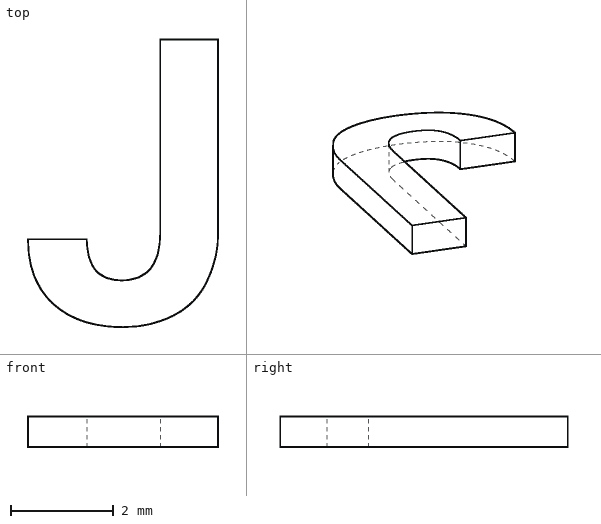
import cadquery as cq

width = 3.71
height = 5.61
thickness = 0.6

stem_width = 1.135
tip_width = 1.15
tip_y = 1.715
stem_end_y = 1.79
stem_left = width - stem_width

outer_bottom = (1.86, 0)
inner_bottom_y = 0.915
inner_bottom = (1.83, inner_bottom_y)

outer_left_controls = [(0, 0.91), (0.99, 0)]
outer_right_controls = [(2.385, 0), (3.28, 0.45), (width, 1.36)]
inner_right_controls = [(stem_left, 1.375), (2.205, inner_bottom_y)]
inner_left_controls = [(1.475, inner_bottom_y), (tip_width, 1.33)]


def midpoint(a, b):
    return ((a[0] + b[0]) / 2, (a[1] + b[1]) / 2)


def add_bend(outline, start, controls, end):
    """Add parabolic arcs that join smoothly halfway between neighbouring control points."""
    joints = [midpoint(a, b) for a, b in zip(controls, controls[1:])]
    arc_starts = [start] + joints
    arc_ends = joints + [end]
    for arc_start, control, arc_end in zip(arc_starts, controls, arc_ends):
        outline = outline.bezier([arc_start, control, arc_end])
    return outline


tip_outer = (0, tip_y)
tip_inner = (tip_width, tip_y)
stem_outer = (width, stem_end_y)
stem_inner = (stem_left, stem_end_y)

outline = cq.Workplane("XY").moveTo(*tip_outer)
outline = add_bend(outline, tip_outer, outer_left_controls, outer_bottom)
outline = add_bend(outline, outer_bottom, outer_right_controls, stem_outer)
outline = outline.lineTo(width, height).lineTo(stem_left, height).lineTo(*stem_inner)
outline = add_bend(outline, stem_inner, inner_right_controls, inner_bottom)
outline = add_bend(outline, inner_bottom, inner_left_controls, tip_inner)

result = outline.close().extrude(thickness)